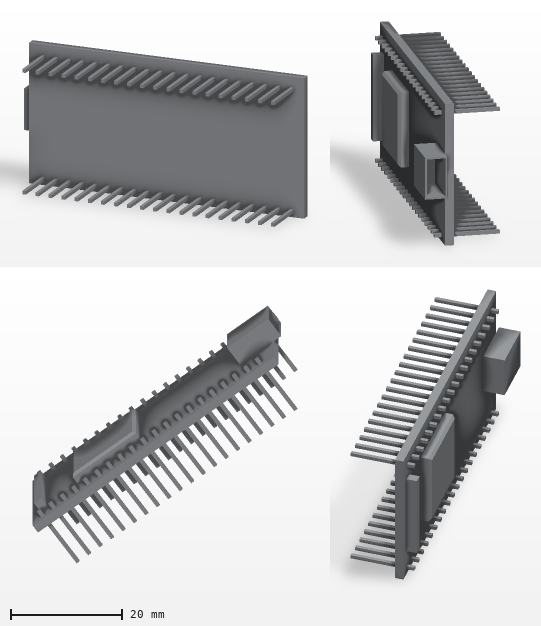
import cadquery as cq

board_length = 53.4
board_height = 26.4
board_thickness = 1.6
board_mid_z = board_height / 2

pin_count = 20
pin_row_length = 48.25
pin_pitch = pin_row_length / (pin_count - 1)
pin_row_spacing = 22.85
pin_size = 0.65
pin_front_length = 9.0
pin_back_length = 1.4
first_pin_x = 2.8
lower_row_z = 1.2

connector_overhang = 1.7
connector_length = 9.1
connector_height = 7.75
connector_rise = 4.0
connector_wall = 0.3

component_rise = 2.0

chip_side = 14.0
chip_left_x = 29.4
chip_bevel = 0.5

bar_left_x = 50.15
bar_width = 1.55
bar_height = 16.1


def block(x_start, x_size, y_start, y_size, z_middle, z_size):
    """Box placed by its left X, its lowest Y and its middle Z."""
    centred_in_z = (False, False, True)
    corner_box = cq.Workplane("XY").box(x_size, y_size, z_size, centered=centred_in_z)
    return corner_box.translate((x_start, y_start, z_middle))


def make_connector():
    """Box with a blind rectangular pocket open at its left end."""
    body = block(
        -connector_overhang,
        connector_length,
        board_thickness,
        connector_rise,
        board_mid_z,
        connector_height,
    )
    pocket = block(
        -connector_overhang,
        connector_length - connector_wall,
        board_thickness + connector_wall,
        connector_rise - 2 * connector_wall,
        board_mid_z,
        connector_height - 2 * connector_wall,
    )
    return body.cut(pocket)


def make_chip():
    """Square package with all four outer top edges bevelled."""
    body = block(chip_left_x, chip_side, board_thickness, component_rise, board_mid_z, chip_side)
    return body.faces(">Y").chamfer(chip_bevel)


def make_pin(x_middle, z_middle):
    """Square pin running through the board."""
    length = pin_front_length + board_thickness + pin_back_length
    return block(x_middle - pin_size / 2, pin_size, -pin_front_length, length, z_middle, pin_size)


board = block(0, board_length, 0, board_thickness, board_mid_z, board_height)
end_bar = block(bar_left_x, bar_width, board_thickness, component_rise, board_mid_z, bar_height)

result = board.union(make_connector()).union(make_chip()).union(end_bar)
for row_z in (lower_row_z, lower_row_z + pin_row_spacing):
    for index in range(pin_count):
        result = result.union(make_pin(first_pin_x + index * pin_pitch, row_z))